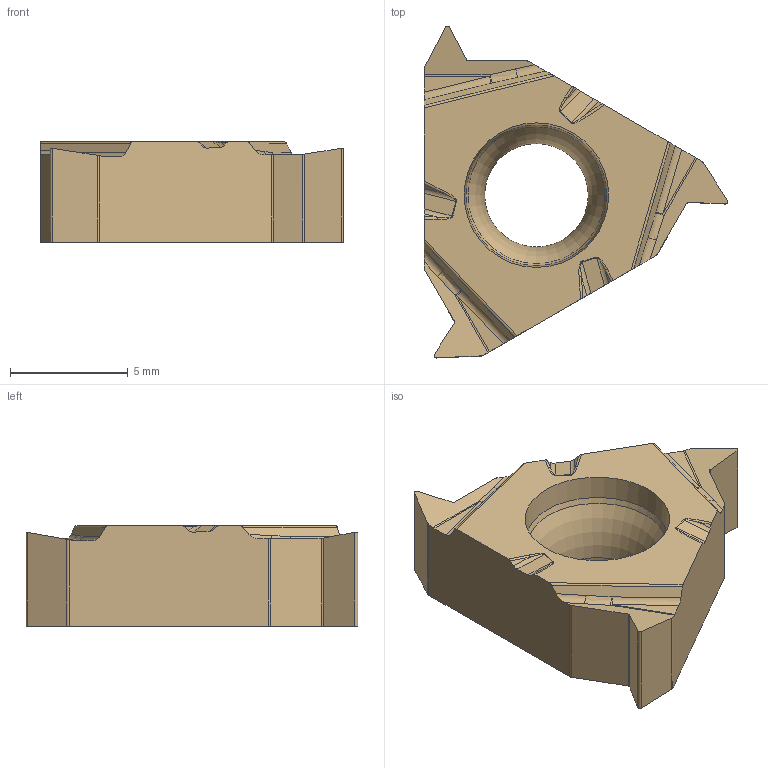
import cadquery as cq
import math

thickness = 4.27
inscribed_diameter = 9.525
corner_count = 3

flank_angle = 27.5
tip_y = 7.185
tip_x = -3.775
tip_radius = 0.1
root_y = 5.70
valley_radius = 0.1
blunt_corner_radius = 0.2

groove_angle = 13.8
groove_edge_y = 3.71
groove_depth = 0.64
wall_angle = 60.0
wall_top_radius = 0.115
wall_bottom_radius = 0.36
rake_angle = 10.0
tip_drop = 0.27
rake_bend_radius = 0.4
cutter_reach = 8.0
clearance = 1.0

notch_end_x = -3.49
notch_end_y = -0.575
notch_angle = 14.0
notch_slope = 11.0
notch_floor_width = 0.64
notch_wall_angle = 42.0
notch_floor_radius = 0.3
notch_rim_radius = 0.15
notch_length = 3.0
notch_height = 1.0

hole_diameter = 4.4
mouth_radius = 3.07
mouth_bottom_radius = 3.0
mouth_depth = 1.01
seat_top_radius = 2.91
seat_top_depth = 1.25
seat_depth = 3.57

inradius = inscribed_diameter / 2
corner_step = 360 / corner_count


def turned(x, y, corner):
    """Return a plan point turned about the hole axis from the first corner to another."""
    angle = math.radians(-corner * corner_step)
    return (
        x * math.cos(angle) - y * math.sin(angle),
        x * math.sin(angle) + y * math.cos(angle),
    )


def cut_at_every_corner(body, cutter):
    """Cut the body with copies of a cutter turned to each corner of the triangle."""
    for corner in range(corner_count):
        body = body.cut(cutter.rotate((0, 0, 0), (0, 0, 1), -corner * corner_step))
    return body


def make_body():
    """Triangle with a pointed tooth at each corner, extruded to full thickness."""
    flank = math.radians(flank_angle)
    apex_y = tip_y + tip_radius * (1 / math.sin(flank) - 1)
    flank_end_y = apex_y - (tip_x + inradius) / math.tan(flank)
    valley_x = tip_x + (apex_y - root_y) * math.tan(flank)
    side_normal = math.radians(corner_step / 2)
    shoulder_x = (inradius - root_y * math.sin(side_normal)) / math.cos(side_normal)
    tooth = [
        (-inradius, flank_end_y, blunt_corner_radius),
        (tip_x, apex_y, tip_radius),
        (valley_x, root_y, valley_radius),
        (shoulder_x, root_y, blunt_corner_radius),
    ]

    outline = []
    for corner in range(corner_count):
        for x, y, _ in tooth:
            outline.append(turned(x, y, corner))
    body = cq.Workplane("XY").polyline(outline).close().extrude(thickness)

    for corner in range(corner_count):
        for x, y, radius in tooth:
            sharp_point = (*turned(x, y, corner), thickness / 2)
            nearest = cq.selectors.NearestToPointSelector(sharp_point)
            body = body.edges("|Z").edges(nearest).fillet(radius)
    return body


def make_groove_cutter():
    """Material removed above the tooth face, the groove floor and the groove wall."""
    wall = math.radians(wall_angle)
    round_run = wall_top_radius * math.sin(wall)
    round_drop = wall_top_radius * (1 - math.cos(wall))
    mid_run = wall_top_radius * math.sin(wall / 2)
    mid_drop = wall_top_radius * (1 - math.cos(wall / 2))
    wall_depth = groove_depth + clearance
    wall_run = (wall_depth - round_drop) / math.tan(wall)
    direction = math.radians(groove_angle)
    along = cq.Vector(math.cos(direction), math.sin(direction), 0)
    across = cq.Vector(-math.sin(direction), math.cos(direction), 0)

    plane = cq.Plane(origin=(-inradius, groove_edge_y, thickness), xDir=across, normal=along)
    beyond_wall = (
        cq.Workplane(plane)
        .moveTo(0, clearance)
        .lineTo(0, 0)
        .threePointArc((mid_run, -mid_drop), (round_run, -round_drop))
        .lineTo(round_run + wall_run, -wall_depth)
        .lineTo(cutter_reach, -wall_depth)
        .lineTo(cutter_reach, clearance)
        .close()
        .extrude(cutter_reach, both=True)
    )

    rake = math.radians(rake_angle)
    floor_z = thickness - groove_depth
    bend_y = tip_y - (groove_depth - tip_drop) / math.tan(rake)
    bend_start = bend_y - rake_bend_radius * math.tan(rake / 2)
    far_y = bend_y + cutter_reach
    above_floor = (
        cq.Workplane("YZ")
        .moveTo(bend_y - cutter_reach, floor_z)
        .lineTo(bend_start, floor_z)
        .threePointArc(
            (
                bend_start + rake_bend_radius * math.sin(rake / 2),
                floor_z + rake_bend_radius * (1 - math.cos(rake / 2)),
            ),
            (
                bend_start + rake_bend_radius * math.sin(rake),
                floor_z + rake_bend_radius * (1 - math.cos(rake)),
            ),
        )
        .lineTo(far_y, floor_z + cutter_reach * math.tan(rake))
        .lineTo(far_y, thickness + cutter_reach)
        .lineTo(bend_y - cutter_reach, thickness + cutter_reach)
        .close()
        .extrude(2 * cutter_reach, both=True)
    )
    cutter = beyond_wall.intersect(above_floor)
    level_foot = cutter.edges(cq.selectors.ParallelDirSelector(along)).edges("<Z").edges("<Y")
    return cutter.newObject(level_foot.vals()).fillet(wall_bottom_radius)


def make_notch_cutter():
    """Tapering notch with rounded floor edges; its floor falls from the top face to the side."""
    direction = math.radians(180 - notch_angle)
    slope = math.radians(notch_slope)
    wall = math.radians(notch_wall_angle)
    along = cq.Vector(
        math.cos(direction) * math.cos(slope),
        math.sin(direction) * math.cos(slope),
        -math.sin(slope),
    )
    sideways = cq.Vector(-math.sin(direction), math.cos(direction), 0)
    plane = cq.Plane(origin=(notch_end_x, notch_end_y, thickness), xDir=sideways, normal=along)
    half_foot = notch_floor_width / 2 + notch_floor_radius * math.tan(wall / 2)
    half_top = half_foot + notch_height / math.tan(wall)
    notch = (
        cq.Workplane(plane)
        .moveTo(-half_foot, 0)
        .lineTo(half_foot, 0)
        .lineTo(half_top, notch_height)
        .lineTo(-half_top, notch_height)
        .close()
        .extrude(notch_length)
    )
    lengthwise = cq.selectors.ParallelDirSelector(along)
    return notch.edges(lengthwise).edges("<Z").fillet(notch_floor_radius)


def round_notch_rims(body):
    """Round the rim of each notch; the rim is one smooth chain, picked at its inner end."""
    for corner in range(corner_count):
        inner_end = (*turned(notch_end_x, notch_end_y, corner), thickness)
        nearest = cq.selectors.NearestToPointSelector(inner_end)
        body = body.faces(">Z").edges(nearest).fillet(notch_rim_radius)
    return body


def make_hole_cutter():
    """Slightly tapered mouth, curved screw seat and plain bore."""
    bore = hole_diameter / 2
    run = seat_top_radius - bore
    drop = seat_depth - seat_top_depth
    half_sweep = math.atan(run / drop)
    seat_radius = drop / math.sin(2 * half_sweep)
    mid_r = bore + seat_radius * (1 - math.cos(half_sweep))
    mid_z = thickness - seat_depth + seat_radius * math.sin(half_sweep)
    return (
        cq.Workplane("XZ")
        .moveTo(0, 0)
        .lineTo(bore, 0)
        .lineTo(bore, thickness - seat_depth)
        .threePointArc((mid_r, mid_z), (seat_top_radius, thickness - seat_top_depth))
        .lineTo(mouth_bottom_radius, thickness - mouth_depth)
        .lineTo(mouth_radius, thickness)
        .lineTo(0, thickness)
        .close()
        .revolve(360, (0, 0, 0), (0, 1, 0))
    )


result = make_body().cut(make_hole_cutter())
result = cut_at_every_corner(result, make_groove_cutter())
result = cut_at_every_corner(result, make_notch_cutter())
result = round_notch_rims(result)